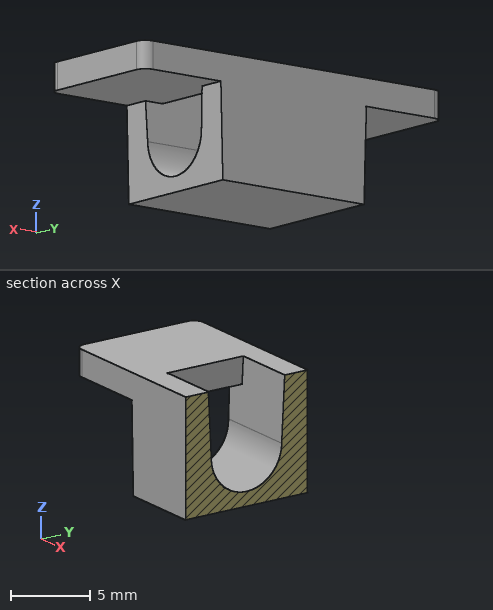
import cadquery as cq

plate_length = 24.4
plate_width = 9.4
plate_thickness = 1.85
corner_radius = 0.75

block_height = 6.35
block_top_length = 11.83
block_bottom_length = 11.52

channel_radius = 2.68
channel_floor = 1.02
channel_top_width = 5.83

window_length = 9.05

plate_top = block_height + plate_thickness
channel_axis = channel_floor + channel_radius


def make_plate():
    plate = cq.Workplane("XY").workplane(offset=block_height)
    plate = plate.rect(plate_length, plate_width).extrude(plate_thickness)
    return plate.edges("|Z").fillet(corner_radius)


def make_block():
    half_bottom = block_bottom_length / 2
    half_top = block_top_length / 2
    outline = [
        (-half_bottom, 0),
        (half_bottom, 0),
        (half_top, block_height),
        (-half_top, block_height),
    ]
    return cq.Workplane("XZ").polyline(outline).close().extrude(plate_width / 2, both=True)


def make_channel(length, top):
    """Channel-shaped cutter of the given length along X, cut off level at height top."""
    half_top = channel_top_width / 2
    wall_slope = (half_top - channel_radius) / (plate_top - channel_axis)
    half_width = channel_radius + wall_slope * (top - channel_axis)
    return (
        cq.Workplane("YZ")
        .moveTo(-half_width, top)
        .lineTo(-channel_radius, channel_axis)
        .threePointArc((0, channel_floor), (channel_radius, channel_axis))
        .lineTo(half_width, top)
        .close()
        .extrude(length / 2, both=True)
    )


end_to_end_channel = make_channel(plate_length, block_height)
window = make_channel(window_length, plate_top)

result = make_plate().union(make_block()).cut(end_to_end_channel).cut(window)